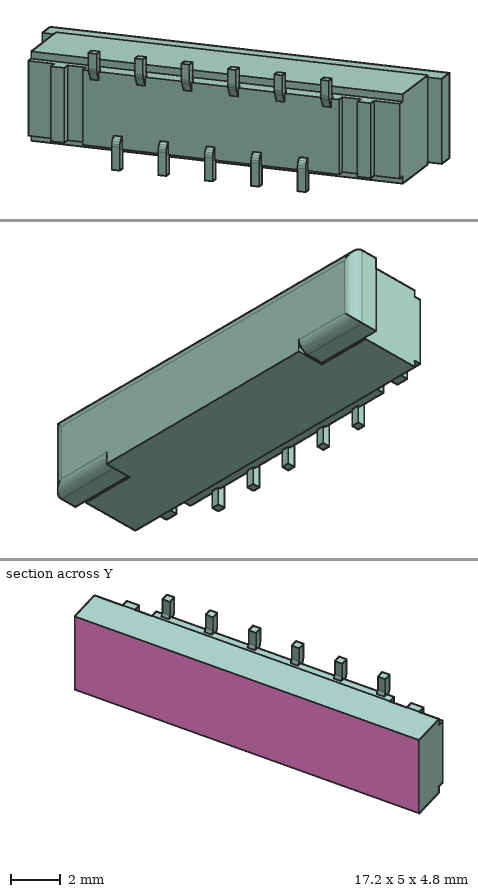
import cadquery as cq
import math

overall_depth = 5.0

flange_length = 17.2
flange_height = 3.58
flange_depth = 1.3
flange_radius = 0.5

body_length = 16.0
body_height = 3.76
body_front = 0.92

key_length = 11.0

base_height = 3.15
base_front = 0.61
raised_front = 0.25
raised_length = 11.05
post_width = 0.58
post_offset = 6.6

contact_pitch = 2.0
contact_width = 0.35
contact_thickness = 0.35
contact_span = 4.8
contact_outer_radius = 0.4
contact_root = 0.5
bend_flat_angle = 15.0
upper_count = 6
upper_bend_angle = 30.0
upper_bend_start = 1.75
lower_count = 5
lower_bend_angle = 90.0
lower_bend_start = 1.4


def block(length, height, y_front, y_back, x_center=0.0):
    """Box centred on Z, filling Y from y_front to y_back."""
    depth = y_back - y_front
    return cq.Workplane("XY").box(length, depth, height).translate((x_center, y_front + depth / 2, 0))


def make_flange():
    flange = block(flange_length, flange_height, overall_depth - flange_depth, overall_depth)
    return flange.faces(">Y").edges().fillet(flange_radius)


def make_body():
    return block(body_length, body_height, body_front, overall_depth - flange_depth)


def make_key():
    key_height = (body_height - flange_height) / 2 + flange_radius
    key = block(key_length, key_height, overall_depth - flange_depth, overall_depth)
    return key.translate((0, 0, (key_height - body_height) / 2))


def make_base():
    base = block(body_length, base_height, base_front, body_front)
    base = base.union(block(raised_length, base_height, raised_front, base_front))
    for x_center in (-post_offset, post_offset):
        base = base.union(block(post_width, base_height, raised_front, base_front, x_center))
    return base


def make_contact(x_center, side, bend_angle, bend_start):
    """Contact with a straight foot that bends into the base; side is +1 above, -1 below."""
    bend = math.radians(bend_angle)
    inner_radius = contact_outer_radius - contact_thickness
    foot_tip = contact_span / 2

    def bend_point(radius, angle, root=0.0):
        y = contact_outer_radius - radius * math.cos(angle) + root * math.sin(angle)
        z = bend_start - radius * math.sin(angle) - root * math.cos(angle)
        return (y, side * z)

    flat_count = round(bend_angle / bend_flat_angle)
    angles = [bend * index / flat_count for index in range(flat_count + 1)]
    outer_points = [bend_point(contact_outer_radius, angle) for angle in angles]
    inner_points = [bend_point(inner_radius, angle) for angle in reversed(angles)]
    root_points = [
        bend_point(contact_outer_radius, bend, contact_root),
        bend_point(inner_radius, bend, contact_root),
    ]
    tip_points = [(contact_thickness, side * foot_tip), (0, side * foot_tip)]
    outline = outer_points + root_points + inner_points + tip_points

    profile = cq.Workplane("YZ").polyline(outline).close()
    return profile.extrude(contact_width / 2, both=True).translate((x_center, 0, 0))


def add_contact_row(part, count, side, bend_angle, bend_start):
    for index in range(count):
        x_center = (index - (count - 1) / 2) * contact_pitch
        part = part.union(make_contact(x_center, side, bend_angle, bend_start))
    return part


result = make_body().union(make_flange()).union(make_key()).union(make_base())
result = add_contact_row(result, upper_count, 1, upper_bend_angle, upper_bend_start)
result = add_contact_row(result, lower_count, -1, lower_bend_angle, lower_bend_start)